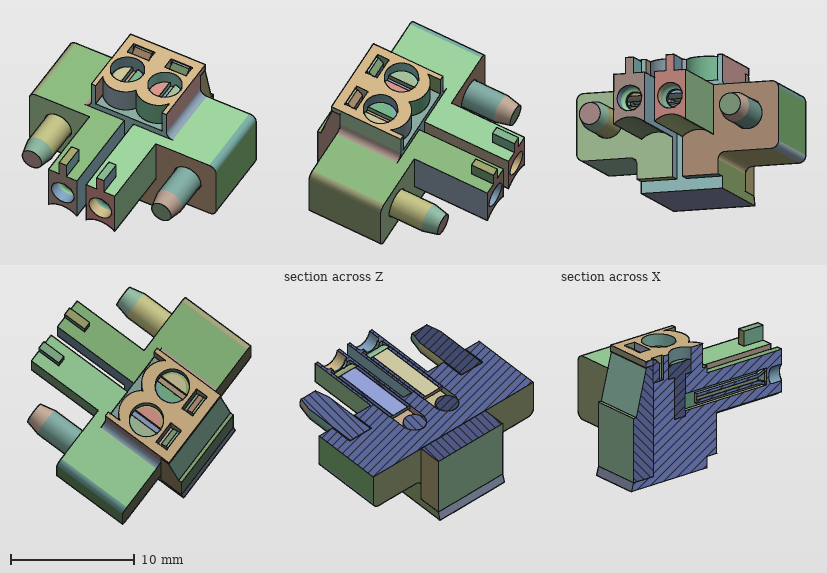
import cadquery as cq
import math


length = 17.4
tip_y = -7.9
top_z = 5.55
bottom_z = -5.55

flange_front_y = -1.1
flange_top_z = 2.85
flange_bottom_z = -2.75
flange_radius = 0.61

body_width = 7.0
body_front_y = -0.07
step_z = -4.56
joint_y = 5.59
top_lip_y = 6.4
top_lip_z = 4.96
foot_lip_y = 7.9
foot_lip_z = -4.78

cover_back_y = 7.69
cover_ledge_z = 0.87
cover_ledge_y = 7.4
cover_top_y = 6.33

pole_pitch = 3.5
plug_outer_x = 3.1
plug_gap = 0.85
plug_bottom_z = -1.27
groove_diameter = 4.0
groove_top_z = -0.77
key_width = 0.68
key_length = 2.04
key_top_z = 4.18

socket_z = 0.8
socket_diameter = 2.1
throat_diameter = 1.5
socket_depth = 1.3
socket_wall = 0.3

recess_floor_z = 3.43
scallop_diameter = 3.75
scallop_front_y = 0.3

screw_y = 2.8
head_diameter = 2.8
head_face_diameter = 2.3
head_sink = 1.0
head_height = 1.22
slot_width = 0.5
slot_depth = 0.52
shank_diameter = 1.9
shank_bottom_z = -0.35

window_width = 1.98
window_front_y = 4.52
window_depth = 2.09
clamp_width = 1.58
clamp_front_y = 4.9
clamp_sink = 0.09
clamp_bevel = 0.49

contact_z = 0.85
contact_width = 2.09
contact_end_y = 1.05
contact_cheek = 0.26
leaf_thickness = 0.3
slit_half = 0.14
inner_rise = 0.12
inner_angle = math.radians(18)
outer_rise = 0.17
outer_angle = math.radians(22)
mouth_clearance = 0.1
leaf_clearance = 0.02

pin_x = 6.04
pin_z = 0.26
pin_diameter = 2.4
pin_tip_diameter = 1.81
pin_shoulder_y = -4.1
pin_tip_y = -5.41
pin_hole_diameter = 2.5
pin_hole_depth = 2.09

pole_xs = [-pole_pitch / 2, pole_pitch / 2]
pin_xs = [-pin_x, pin_x]
body_half = body_width / 2
gap_half = plug_gap / 2
scallop_radius = scallop_diameter / 2
scallop_y = scallop_front_y + scallop_radius
head_top_z = top_z - head_sink
head_bottom_z = head_top_z - head_height
window_floor_z = top_z - window_depth
chamber_front_y = tip_y + socket_depth + socket_wall
mouth_y = chamber_front_y + mouth_clearance
inner_run = inner_rise / math.tan(inner_angle)
outer_run = outer_rise / math.tan(outer_angle)
bend_y = mouth_y + outer_run
straight_y = bend_y + inner_run
mouth_half = slit_half + inner_rise + outer_rise
chamber_half = mouth_half + leaf_thickness * math.cos(outer_angle) + leaf_clearance
pin_seat_y = flange_front_y + pin_hole_depth


def box(x_range, y_range, z_range):
    """Axis-aligned block between the given limits."""
    low, high = zip(x_range, y_range, z_range)
    sizes = [b - a for a, b in zip(low, high)]
    return cq.Workplane("XY").box(*sizes, centered=False).translate(low)


def centred_box(x, width, y_range, z_range):
    """Block of the given width, centred on x."""
    return box((x - width / 2, x + width / 2), y_range, z_range)


def cylinder_y(diameter, x, z, y_start, y_end):
    """Cylinder along Y from y_start to a larger y_end."""
    plane = cq.Plane(origin=(x, y_start, z), xDir=(1, 0, 0), normal=(0, 1, 0))
    return cq.Workplane(plane).circle(diameter / 2).extrude(y_end - y_start)


def cylinder_z(diameter, x, y, z_start, z_end):
    """Cylinder along Z from z_start to a larger z_end."""
    plane = cq.Plane(origin=(x, y, z_start))
    return cq.Workplane(plane).circle(diameter / 2).extrude(z_end - z_start)


def side_profile(points, x, width):
    """Closed (y, z) outline, extruded along X and centred on x."""
    plane = cq.Workplane("YZ", origin=(x, 0, 0))
    return plane.polyline(points).close().extrude(width / 2, both=True)


def body_core():
    """Central body with its stepped foot and the two lips that hold the cover."""
    outline = [
        (body_front_y, top_z),
        (top_lip_y, top_z),
        (top_lip_y, top_lip_z),
        (joint_y, top_lip_z),
        (joint_y, foot_lip_z),
        (cover_back_y, foot_lip_z),
        (foot_lip_y, bottom_z),
        (body_front_y, bottom_z),
        (body_front_y, step_z),
        (flange_front_y, step_z),
        (flange_front_y, flange_top_z),
        (body_front_y, flange_top_z),
    ]
    return side_profile(outline, 0, body_width)


def flanges():
    """One rounded bar that forms both flanges."""
    bar = centred_box(0, length, (flange_front_y, joint_y), (flange_bottom_z, flange_top_z))
    return bar.edges("|Y").fillet(flange_radius)


def blend(side, flange_z, direction, front_y):
    """Concave blend between a flange face and the side of the body."""
    wall_x = side * body_half
    outer_x = side * (body_half + flange_radius)
    far_z = flange_z + direction * flange_radius
    square = box(sorted((wall_x, outer_x)), (front_y, joint_y), sorted((flange_z, far_z)))
    return square.cut(cylinder_y(2 * flange_radius, outer_x, far_z, front_y, joint_y))


def plug(x):
    """Square plug with a grooved underside and a key on top of its tip."""
    width = plug_outer_x - gap_half
    middle_x = math.copysign((plug_outer_x + gap_half) / 2, x)
    block = centred_box(middle_x, width, (tip_y, flange_front_y), (plug_bottom_z, flange_top_z))
    groove_z = groove_top_z - groove_diameter / 2
    groove = cylinder_y(groove_diameter, middle_x, groove_z, tip_y, flange_front_y)
    key = centred_box(x, key_width, (tip_y, tip_y + key_length), (flange_top_z, key_top_z))
    return block.cut(groove).union(key)


def scalloped_recess():
    """Shallow front recess that leaves a rounded wall around each screw."""
    recess = centred_box(0, 2 * plug_outer_x, (body_front_y, scallop_y), (recess_floor_z, top_z))
    for side in (-1, 1):
        wall = cylinder_z(scallop_diameter, side * plug_outer_x / 2, scallop_y, recess_floor_z, top_z)
        recess = recess.cut(wall)
    return recess


def socket(x):
    """Round plug opening with a rounded bottom, a throat and the contact chamber."""
    throat_radius = throat_diameter / 2
    opening_radius = socket_diameter / 2
    rounding = opening_radius - throat_radius
    bottom_y = tip_y + socket_depth
    arc_offset = rounding * math.sqrt(0.5)
    bore = (
        cq.Workplane("XY")
        .moveTo(0, tip_y)
        .lineTo(opening_radius, tip_y)
        .lineTo(opening_radius, bottom_y - rounding)
        .threePointArc(
            (throat_radius + arc_offset, bottom_y - rounding + arc_offset),
            (throat_radius, bottom_y),
        )
        .lineTo(throat_radius, chamber_front_y)
        .lineTo(0, chamber_front_y)
        .close()
        .revolve(360, (0, 0), (0, 1))
        .translate((x, 0, socket_z))
    )
    chamber_z_range = (contact_z - chamber_half, contact_z + chamber_half)
    chamber = centred_box(x, contact_width, (chamber_front_y, screw_y), chamber_z_range)
    return bore.union(chamber)


def screw_bore(x):
    """Stepped bore that holds a clamping screw."""
    head = cylinder_z(head_diameter, x, screw_y, head_bottom_z, top_z)
    shank = cylinder_z(shank_diameter, x, screw_y, shank_bottom_z, head_bottom_z)
    return head.union(shank)


def window(x):
    """Rectangular test opening behind a screw."""
    return centred_box(x, window_width, (window_front_y, joint_y), (window_floor_z, top_z))


def make_housing():
    shell = body_core().union(flanges())
    for side in (-1, 1):
        shell = shell.union(blend(side, flange_top_z, 1, body_front_y))
        shell = shell.union(blend(side, flange_bottom_z, -1, flange_front_y))
    gap = centred_box(0, plug_gap, (flange_front_y, body_front_y), (bottom_z, flange_top_z))
    shell = shell.cut(gap).cut(scalloped_recess())
    for x in pole_xs:
        shell = shell.union(plug(x))
        shell = shell.cut(socket(x)).cut(screw_bore(x)).cut(window(x))
    for x in pin_xs:
        shell = shell.cut(cylinder_y(pin_hole_diameter, x, pin_z, flange_front_y, pin_seat_y))
    return shell


def make_cover():
    """Rear cover, sloped above its ledge and held between the two housing lips."""
    outline = [
        (joint_y, foot_lip_z),
        (cover_back_y, foot_lip_z),
        (cover_back_y, cover_ledge_z),
        (cover_ledge_y, cover_ledge_z),
        (cover_top_y, top_lip_z),
        (joint_y, top_lip_z),
    ]
    return side_profile(outline, 0, body_width)


def make_screw(x):
    """Slotted screw with a rounded head edge."""
    head = cylinder_z(head_diameter, x, screw_y, head_bottom_z, head_top_z)
    head = head.faces(">Z").edges().fillet((head_diameter - head_face_diameter) / 2)
    shank = cylinder_z(shank_diameter, x, screw_y, shank_bottom_z, head_bottom_z)
    reach = head_diameter / 2
    slot_z_range = (head_top_z - slot_depth, head_top_z)
    slot = centred_box(x, slot_width, (screw_y - reach, screw_y + reach), slot_z_range)
    return head.union(shank).cut(slot)


def make_clamp(x):
    """Clamp tab with a bevelled front, standing in its window."""
    clamp_top_z = top_z - clamp_sink
    tab = centred_box(x, clamp_width, (clamp_front_y, joint_y), (window_floor_z, clamp_top_z))
    return tab.faces("<Y").edges(">Z").chamfer(clamp_bevel)


def leaf(x, side):
    """One bent leaf: straight at the back, flared in two stretches to a square-cut mouth."""
    tip_run = leaf_thickness * math.sin(outer_angle)
    tip_rise = leaf_thickness * math.cos(outer_angle)
    heights = [
        (contact_end_y, slit_half),
        (straight_y, slit_half),
        (bend_y, slit_half + inner_rise),
        (mouth_y, mouth_half),
        (mouth_y + tip_run, mouth_half + tip_rise),
        (straight_y, slit_half + leaf_thickness),
        (contact_end_y, slit_half + leaf_thickness),
    ]
    return side_profile([(y, contact_z + side * h) for y, h in heights], x, contact_width)


def make_contact(x):
    """Two facing leaves joined by a cheek on each side of their slit."""
    contact = leaf(x, 1).union(leaf(x, -1))
    slit_z_range = (contact_z - slit_half, contact_z + slit_half)
    for side in (-1, 1):
        cheek_x = x + side * (contact_width - contact_cheek) / 2
        cheek = centred_box(cheek_x, contact_cheek, (straight_y, contact_end_y), slit_z_range)
        contact = contact.union(cheek)
    return contact


def make_pin(x):
    """Round pin with a tapered tip, seated on the bottom of its flange hole."""
    outline = [
        (0, pin_tip_y),
        (pin_tip_diameter / 2, pin_tip_y),
        (pin_diameter / 2, pin_shoulder_y),
        (pin_diameter / 2, pin_seat_y),
        (0, pin_seat_y),
    ]
    pin = cq.Workplane("XY").polyline(outline).close().revolve(360, (0, 0), (0, 1))
    return pin.translate((x, 0, pin_z))


housing = make_housing()
cover = make_cover()
screws = [make_screw(x) for x in pole_xs]
clamps = [make_clamp(x) for x in pole_xs]
contacts = [make_contact(x) for x in pole_xs]
pins = [make_pin(x) for x in pin_xs]

repeated = screws + clamps + contacts + pins
result = cq.Compound.makeCompound([housing.val(), cover.val(), *[body.val() for body in repeated]])